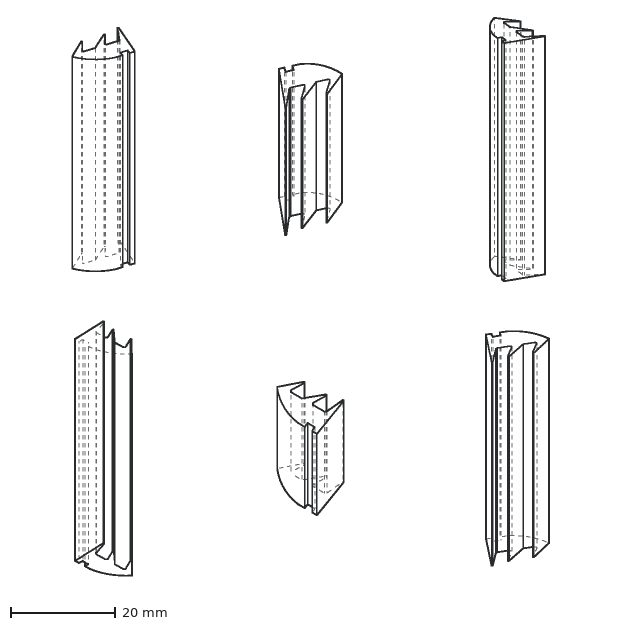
import cadquery as cq

length = 50.0
width = 8.45
depth = 12.4

web_x = 3.85
apex_x = 4.35
outer_top_y = 11.5
arc_start_y = 7.25
outer_radius = 11.0

groove_floor_x = 7.5
groove_top_y = 10.4
groove_bottom_y = 8.8

lip_tip_thickness = 0.25
lip_root_y = 10.6
fin_tip_x = 0.75
fin_tip_thickness = 0.2
fin_tip_flat = 0.2
middle_tip_y = 8.95
middle_root_top_y = 7.4
middle_root_bottom_y = 5.25
lower_tip_y = 4.05
lower_root_y = 2.45
root_radius = 0.3
lip_chamfer = 0.25


def fin_tip(tip_y):
    """Blunt end of a fin, from its upper corner round to its lower corner."""
    return [
        (fin_tip_x + fin_tip_flat, tip_y),
        (fin_tip_x, tip_y),
        (fin_tip_x, tip_y - fin_tip_thickness),
    ]


outline = cq.Workplane("XY").moveTo(apex_x, 0)
outline = outline.radiusArc((width, arc_start_y), -outer_radius)
outline = outline.polyline(
    [
        (width, groove_bottom_y),
        (groove_floor_x, groove_bottom_y),
        (groove_floor_x, groove_top_y),
        (width, groove_top_y),
        (width, outer_top_y),
        (0, depth),
        (0, depth - lip_tip_thickness),
        (web_x, lip_root_y),
        (web_x, middle_root_top_y),
        *fin_tip(middle_tip_y),
        (web_x, middle_root_bottom_y),
        (web_x, lower_root_y),
        *fin_tip(lower_tip_y),
    ],
    includeCurrent=True,
)
strip = outline.close().extrude(length)


def root_edge(body, root_y):
    """Select the vertical inner edge where a lip or fin meets the web."""
    margin = 0.05
    corner = cq.selectors.BoxSelector(
        (web_x - margin, root_y - margin, -margin),
        (web_x + margin, root_y + margin, length + margin),
    )
    return body.edges("|Z").edges(corner)


strip = root_edge(strip, lip_root_y).chamfer(lip_chamfer)
for root_y in (middle_root_top_y, lower_root_y):
    strip = root_edge(strip, root_y).fillet(root_radius)

result = strip